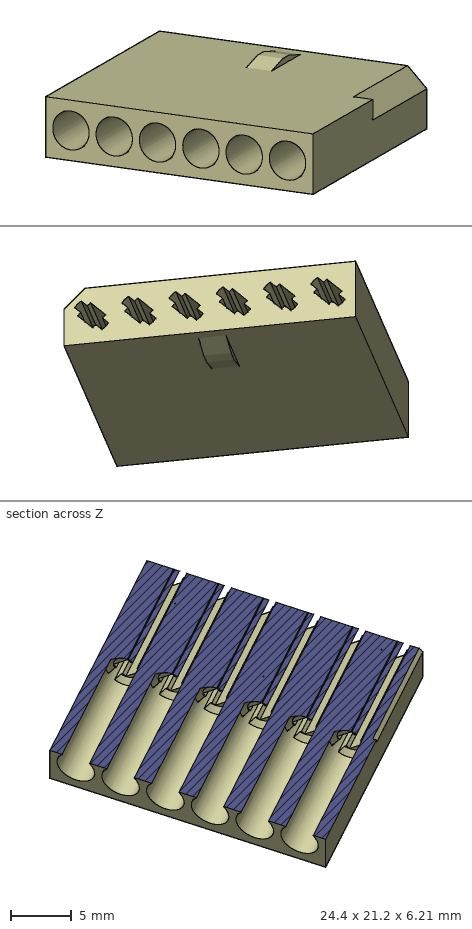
import cadquery as cq

width = 24.45
length = 21.2
overall_height = 6.21
latch_height = 0.51
body_height = overall_height - 2 * latch_height

cavity_count = 6
cavity_pitch = 3.96
entry_diameter = 3.33
entry_depth = length / 2
throat_diameter = 2.35
cone_depth = (entry_diameter - throat_diameter) / 2
bore_width = 1.55
bore_length = 1.79
key_width = 0.78
bore_tilt = 45.0

latch_width = 2.3
latch_length = 5.38
latch_flat_length = 1.17
latch_back_gap = 1.03

chamfer_width = 1.75
chamfer_depth = chamfer_width
chamfer_length = 10.08

back_y = length / 2
front_y = -length / 2


def make_body():
    """Plain rectangular block centred on the origin."""
    return cq.Workplane("XY").box(width, length, body_height)


def make_latch():
    """Double-ramped bump standing on the top face, centred in X."""
    rear = back_y - latch_back_gap
    front = rear - latch_length
    ramp_length = (latch_length - latch_flat_length) / 2
    base = body_height / 2
    crest = base + latch_height
    return (
        cq.Workplane("YZ")
        .moveTo(front, base)
        .lineTo(front + ramp_length, crest)
        .lineTo(rear - ramp_length, crest)
        .lineTo(rear, base)
        .close()
        .extrude(latch_width / 2, both=True)
    )


def make_cavity():
    """Round entry narrowing through a cone to a tilted rectangular bore with two opposite keys."""
    cone_start_y = front_y + entry_depth
    cone_end_y = cone_start_y + cone_depth
    entry = (
        cq.Workplane("YZ")
        .moveTo(front_y, 0)
        .lineTo(front_y, -entry_diameter / 2)
        .lineTo(cone_start_y, -entry_diameter / 2)
        .lineTo(cone_end_y, -throat_diameter / 2)
        .lineTo(cone_end_y, 0)
        .close()
        .revolve(360, (0, 0, 0), (1, 0, 0))
    )
    core = cq.Workplane("XZ").rect(bore_length, bore_width).extrude(length / 2, both=True)
    full_bore = cq.Workplane("XZ").circle(entry_diameter / 2).extrude(length / 2, both=True)
    key_slot = (
        cq.Workplane("XZ")
        .rect(entry_diameter, key_width)
        .extrude(length / 2, both=True)
        .intersect(full_bore)
    )
    keyed_bore = core.union(key_slot).rotate((0, 0, 0), (0, 1, 0), -bore_tilt)
    return keyed_bore.union(entry)


def make_polarising_cut():
    """Triangular prism that bevels the upper right edge from the back face."""
    right = width / 2
    top = body_height / 2
    return (
        cq.Workplane("XZ", origin=(0, back_y, 0))
        .moveTo(right - chamfer_width, top)
        .lineTo(right, top)
        .lineTo(right, top - chamfer_depth)
        .close()
        .extrude(chamfer_length)
    )


latch = make_latch()
result = make_body().union(latch).union(latch.mirror("XY"))

cavity = make_cavity()
for index in range(cavity_count):
    offset = (index - (cavity_count - 1) / 2) * cavity_pitch
    result = result.cut(cavity.translate((offset, 0, 0)))

result = result.cut(make_polarising_cut())